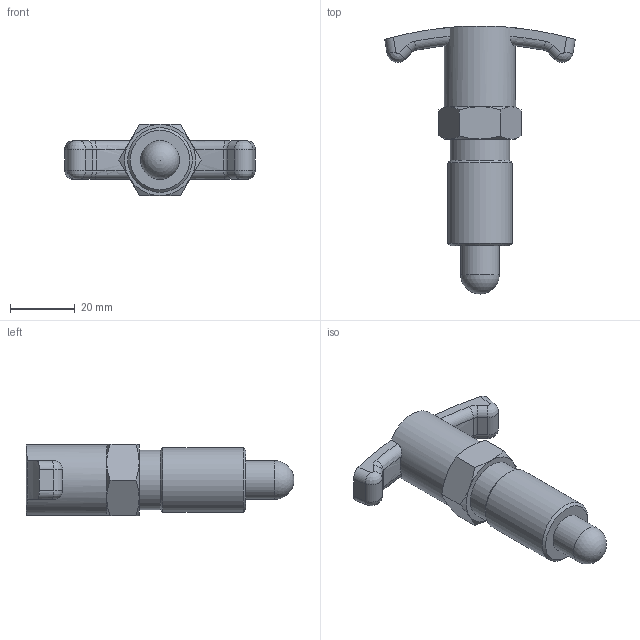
import cadquery as cq
import math


total_length = 82.96
hub_length = 25.0
hex_length = 10.0
neck_length = 7.4
sleeve_length = 43.0

hub_radius = 11.0
pin_radius = 6.0

bar_span = 59.0
bar_width = 2 * pin_radius
bar_thickness = 5.5
arch_radius = 107.0
bar_edge_fillet = 2.75
end_lean = math.radians(9.5)
hook_slope = math.radians(45.0)
hook_corner_depth = 10.9
hook_tip_fillet = 3.35
hook_root_fillet = 2.0

hex_across_flats = 2 * hub_radius
hex_chamfer_angle = math.radians(30.0)
neck_radius = 9.2
thread_radius = 10.0
thread_chamfer = thread_radius - neck_radius

hex_top = -hub_length
hex_bottom = hex_top - hex_length
thread_top = hex_bottom - neck_length
sleeve_bottom = hex_top - sleeve_length
pin_tip = -total_length


def revolve_profile(profile):
    """Close a half profile on the XY plane and revolve it about the Y axis."""
    return profile.close().revolve(360, (0, 0, 0), (0, 1, 0))


def make_crossbar():
    """Arched bar with a hook at each end, rounded everywhere but along its arched top."""
    end_x = bar_span / 2
    end_y = math.sqrt(arch_radius**2 - end_x**2) - arch_radius

    tip_x = end_x - hook_corner_depth * math.sin(end_lean)
    tip_y = end_y - hook_corner_depth * math.cos(end_lean)

    underside_radius = arch_radius - bar_thickness
    step_x = -math.sin(hook_slope)
    step_y = math.cos(hook_slope)
    tip_height = tip_y + arch_radius
    along = tip_x * step_x + tip_height * step_y
    tip_distance = math.hypot(tip_x, tip_height)
    flank_length = math.sqrt(along**2 + underside_radius**2 - tip_distance**2) - along
    root_x = tip_x + flank_length * step_x
    root_y = tip_y + flank_length * step_y

    bar = (
        cq.Workplane("XY")
        .moveTo(-end_x, end_y)
        .threePointArc((0, 0), (end_x, end_y))
        .lineTo(tip_x, tip_y)
        .lineTo(root_x, root_y)
        .threePointArc((0, -bar_thickness), (-root_x, root_y))
        .lineTo(-tip_x, tip_y)
        .close()
        .extrude(bar_width / 2, both=True)
    )
    hook_corners = [
        (tip_x, tip_y, hook_tip_fillet),
        (root_x, root_y, hook_root_fillet),
    ]
    for side in (-1, 1):
        for x, y, radius in hook_corners:
            corner = cq.selectors.NearestToPointSelector((side * x, y, 0))
            bar = bar.edges(corner).fillet(radius)
    return bar.faces("|Z").edges("not(>Y)").fillet(bar_edge_fillet)


def make_plunger():
    """T-grip and ball-ended pin; the top of the hub follows the arch of the crossbar."""
    shaft = revolve_profile(
        cq.Workplane("XY")
        .lineTo(-hub_radius, 0)
        .lineTo(-hub_radius, hex_top)
        .lineTo(-pin_radius, hex_top)
        .lineTo(-pin_radius, pin_tip + pin_radius)
        .radiusArc((0, pin_tip), -pin_radius)
    )
    arch = (
        cq.Workplane("XY")
        .center(0, -arch_radius)
        .circle(arch_radius)
        .extrude(hub_radius, both=True)
    )
    return shaft.intersect(arch).union(make_crossbar())


def make_hexagon():
    """Hexagon with its corners chamfered at both ends."""
    flat_radius = hex_across_flats / 2
    corner_radius = flat_radius / math.cos(math.pi / 6)
    chamfer_depth = (corner_radius - flat_radius) * math.tan(hex_chamfer_angle)
    hexagon = (
        cq.Workplane("XZ", origin=(0, hex_top, 0))
        .polygon(6, 2 * corner_radius)
        .extrude(hex_length)
    )
    corner_limit = revolve_profile(
        cq.Workplane("XY")
        .moveTo(0, hex_top)
        .lineTo(-flat_radius, hex_top)
        .lineTo(-corner_radius, hex_top - chamfer_depth)
        .lineTo(-corner_radius, hex_bottom + chamfer_depth)
        .lineTo(-flat_radius, hex_bottom)
        .lineTo(0, hex_bottom)
    )
    return hexagon.intersect(corner_limit)


def make_sleeve():
    """Hexagon, neck and chamfered thread cylinder, bored through for the pin."""
    barrel = revolve_profile(
        cq.Workplane("XY")
        .moveTo(0, hex_bottom)
        .lineTo(-neck_radius, hex_bottom)
        .lineTo(-neck_radius, thread_top + thread_chamfer)
        .lineTo(-thread_radius, thread_top)
        .lineTo(-thread_radius, sleeve_bottom + thread_chamfer)
        .lineTo(-thread_radius + thread_chamfer, sleeve_bottom)
        .lineTo(0, sleeve_bottom)
    )
    bore = (
        cq.Workplane("XZ", origin=(0, hex_top, 0))
        .circle(pin_radius)
        .extrude(sleeve_length)
    )
    return make_hexagon().union(barrel).cut(bore)


plunger = make_plunger()
sleeve = make_sleeve()

result = cq.Compound.makeCompound([plunger.val(), sleeve.val()])